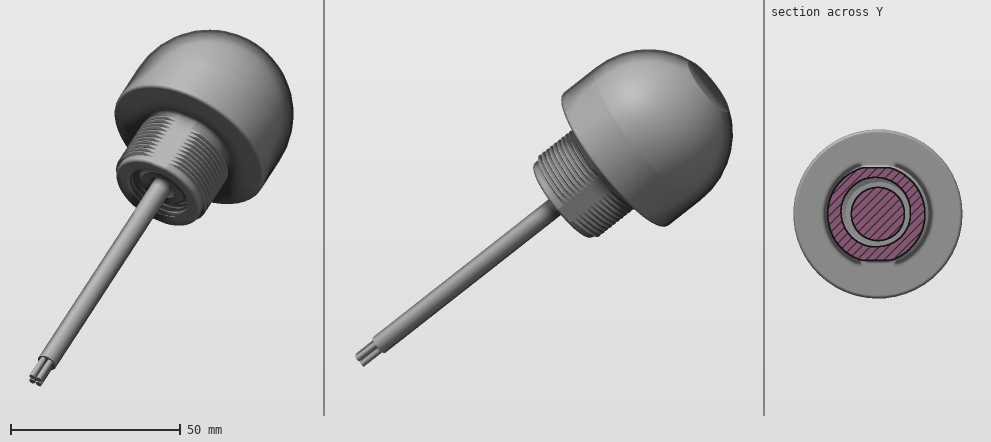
import cadquery as cq
import math


total_length = 134.5

head_radius = 25.0
dome_height = 23.1
skirt_length = 13.2
head_edge_round = 1.0

neck_length = 20.0
neck_radius = 14.0
neck_flat_height = 13.7
neck_end_round = 1.0
neck_root_round = 1.0
thread_pitch = 1.5
thread_depth = 1.0
thread_start = 2.4
thread_half_turns = 21

bore_radius = 9.5
bore_depth = 8.1
bore_thread_pitch = 1.9
bore_thread_depth = 1.5
bore_thread_turns = 5

gland_radius = 8.0
gland_face_radius = 6.6
gland_recess = 2.4
gland_taper_length = 1.2
gland_mouth_radius = 4.3
gland_mouth_depth = 2.0
key_width = 4.7
key_length = 2.0

cable_radius = 3.0
cable_length = 70.7
wire_radius = 1.0
wire_offset = 1.1
wire_length = total_length - dome_height - skirt_length - neck_length - cable_length

wide_share = 0.75
narrow_share = 0.15

profile_embed = 0.1
key_overlap = 0.3


def disc(distance, radius, length):
    """Cylinder that starts at a distance behind the head and runs toward -Y."""
    return cq.Workplane("XZ", origin=(0, -distance, 0)).circle(radius).extrude(length)


def revolve_profile(profile):
    """Revolve a profile in the XY plane around the Y axis."""
    return profile.close().revolve(360, (0, 0, 0), (0, 1, 0))


def thread_ridge(root_radius, depth, pitch, turns, start):
    """Right-hand helical ridge on a root cylinder that starts at +Z and turns toward -X."""
    embedded_radius = root_radius - profile_embed
    crest_radius = root_radius + depth
    helix = cq.Wire.makeHelix(pitch, pitch * turns, root_radius)
    flank_slope = pitch * (wide_share - narrow_share) / 2 / depth
    half_crest = pitch * narrow_share / 2
    half_base = half_crest + flank_slope * (depth + profile_embed)
    ridge = (
        cq.Workplane("XZ")
        .moveTo(embedded_radius, -half_base)
        .lineTo(crest_radius, -half_crest)
        .lineTo(crest_radius, half_crest)
        .lineTo(embedded_radius, half_base)
        .close()
        .sweep(cq.Workplane(helix), isFrenet=True)
    )
    turned = ridge.rotate((0, 0, 0), (0, 0, 1), 90)
    return turned.rotate((0, 0, 0), (1, 0, 0), 90).translate((0, -start, 0))


def flats_envelope():
    """Block whose top and bottom are the two flats along the neck."""
    return cq.Workplane("XY").box(2 * head_radius, 2 * neck_length, 2 * neck_flat_height)


def add_neck_thread(body):
    """Add the thread as separate half turns, which the flats keep apart from each other."""
    half_turn = thread_ridge(neck_radius, thread_depth, thread_pitch, 0.5, thread_start)
    half_turn = half_turn.intersect(flats_envelope())
    arcs = cq.Workplane("XY")
    for index in range(thread_half_turns):
        arc = half_turn.rotate((0, 0, 0), (0, 1, 0), 180 * index)
        arcs = arcs.add(arc.translate((0, -index * thread_pitch / 2, 0)))
    return body.union(arcs)


def make_head():
    head_top = skirt_length + dome_height
    flat_radius = math.sqrt(head_radius**2 - dome_height**2)
    mid_angle = math.asin(dome_height / head_radius) / 2
    mid_point = (head_radius * math.cos(mid_angle), skirt_length + head_radius * math.sin(mid_angle))
    profile = (
        cq.Workplane("XY")
        .lineTo(head_radius, 0)
        .lineTo(head_radius, skirt_length)
        .threePointArc(mid_point, (flat_radius, head_top))
        .lineTo(0, head_top)
    )
    return revolve_profile(profile).faces("<Y").edges().fillet(head_edge_round)


def make_neck():
    neck = disc(0, neck_radius, neck_length).intersect(flats_envelope())
    return neck.faces("<Y").edges().fillet(neck_end_round)


def round_neck_root(body):
    reach = neck_radius + neck_root_round
    root_zone = cq.selectors.BoxSelector(
        (-reach, -neck_root_round, -reach), (reach, neck_root_round, reach), boundingbox=True
    )
    return body.edges(root_zone).fillet(neck_root_round)


def cut_bore(body):
    """Cut the bore and its thread groove, which runs out one turn past the end of the neck."""
    groove_start = neck_length - bore_thread_pitch * (bore_thread_turns - 1)
    groove = thread_ridge(
        bore_radius, bore_thread_depth, bore_thread_pitch, bore_thread_turns, groove_start
    )
    return body.cut(disc(neck_length - bore_depth, bore_radius, bore_depth)).cut(groove)


def make_gland():
    floor = -(neck_length - bore_depth)
    face = -(neck_length - gland_recess)
    profile = (
        cq.Workplane("XY")
        .moveTo(0, floor)
        .lineTo(gland_radius, floor)
        .lineTo(gland_radius, face + gland_taper_length)
        .lineTo(gland_face_radius, face)
        .lineTo(gland_mouth_radius, face)
        .lineTo(cable_radius, face + gland_mouth_depth)
        .lineTo(0, face + gland_mouth_depth)
    )
    gland = revolve_profile(profile)
    keys = (
        cq.Workplane("XZ", origin=(0, floor, 0))
        .rect(2 * (bore_radius + key_overlap), key_width)
        .extrude(key_length)
    )
    return gland.union(keys)


def make_cable():
    inner_end = neck_length - bore_depth
    outer_end = neck_length + cable_length
    cable = disc(inner_end, cable_radius, outer_end - inner_end)
    wires = (
        cq.Workplane("XZ", origin=(0, -outer_end, 0))
        .rect(2 * wire_offset, 2 * wire_offset, forConstruction=True)
        .vertices()
        .circle(wire_radius)
        .extrude(wire_length)
    )
    return cable.union(wires)


result = round_neck_root(make_head().union(make_neck()))
result = add_neck_thread(result)
result = cut_bore(result)
result = result.union(make_gland()).union(make_cable())